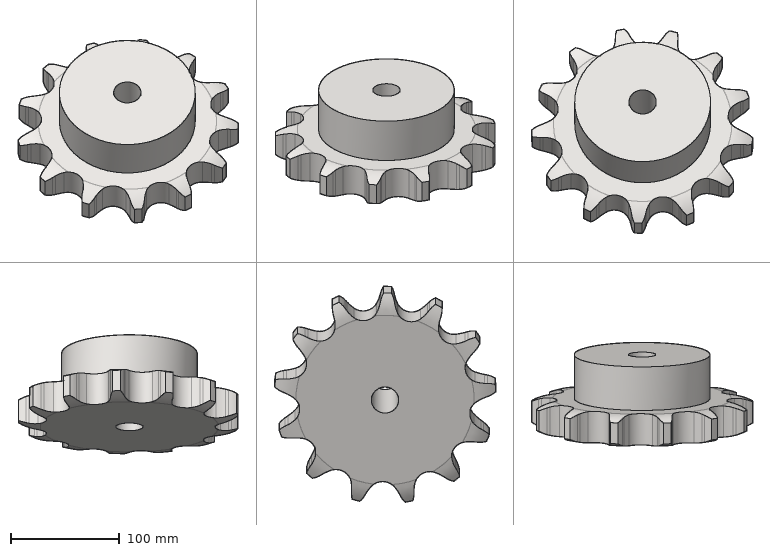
import cadquery as cq
import math

TOOTH_COUNT = 13
ROOT_RADIUS = 79.0
ROLLER_DIAMETER = 27.9
TIP_RADIUS = 102.1
PLATE_THICKNESS = 29.3
TOTAL_HEIGHT = 70.0
HUB_DIAMETER = 125.0
BORE_DIAMETER = 25.0
FLAT_FACE_RADIUS = 82.0
TIP_THICKNESS = 19.5

HALF_PITCH_ANGLE = math.pi / TOOTH_COUNT
SEAT_RADIUS = 0.5025 * ROLLER_DIAMETER
PITCH_RADIUS = ROOT_RADIUS + SEAT_RADIUS
WORKING_CENTER_DISTANCE = 0.8 * ROLLER_DIAMETER
WORKING_RADIUS = SEAT_RADIUS + WORKING_CENTER_DISTANCE
TOPPING_CENTER_DISTANCE = 1.4 * ROLLER_DIAMETER
SEAT_END_ANGLE = math.radians(35 + 60 / TOOTH_COUNT)
WORKING_SWEEP = math.radians(18 - 56 / TOOTH_COUNT)
FLANK_ANGLE = SEAT_END_ANGLE - WORKING_SWEEP

CUTTER_CLEARANCE = 10.2
CUTTER_RADIUS = TIP_RADIUS + CUTTER_CLEARANCE


def polar_offset(center, distance, angle):
    """Point at a distance and an angle (radians) from a center."""
    return (center[0] + distance * math.cos(angle), center[1] + distance * math.sin(angle))


def mirrored(point):
    """Point reflected across the gap's center line."""
    return (-point[0], point[1])


def rim_crossing_angle(center, radius):
    """Angle at which an arc about the topping center, swung outward, reaches the tip circle."""
    distance = math.hypot(*center)
    cosine = (TIP_RADIUS**2 - distance**2 - radius**2) / (2 * distance * radius)
    return math.atan2(center[1], center[0]) - math.acos(cosine)


def tooth_gap():
    """Cutter for one gap, centered on +Y: roller seat, working arcs, short flats, topping arcs."""
    roller_center = (0, PITCH_RADIUS)
    working_center = polar_offset(roller_center, WORKING_CENTER_DISTANCE, SEAT_END_ANGLE)
    topping_center = polar_offset(roller_center, TOPPING_CENTER_DISTANCE, math.pi + HALF_PITCH_ANGLE)

    root = (0, ROOT_RADIUS)
    seat_end = polar_offset(roller_center, SEAT_RADIUS, math.pi + SEAT_END_ANGLE)
    working_mid = polar_offset(working_center, WORKING_RADIUS, math.pi + SEAT_END_ANGLE - WORKING_SWEEP / 2)
    working_end = polar_offset(working_center, WORKING_RADIUS, math.pi + FLANK_ANGLE)

    offset_x = working_end[0] - topping_center[0]
    offset_y = working_end[1] - topping_center[1]
    topping_radius = offset_x * math.cos(FLANK_ANGLE) + offset_y * math.sin(FLANK_ANGLE)
    topping_start = polar_offset(topping_center, topping_radius, FLANK_ANGLE)
    tip_angle = rim_crossing_angle(topping_center, topping_radius)
    topping_mid = polar_offset(topping_center, topping_radius, (FLANK_ANGLE + tip_angle) / 2)
    tip = polar_offset(topping_center, topping_radius, tip_angle)
    outer_corner = (tip[0], CUTTER_RADIUS)

    return (
        cq.Workplane("XY")
        .moveTo(*seat_end)
        .threePointArc(working_mid, working_end)
        .lineTo(*topping_start)
        .threePointArc(topping_mid, tip)
        .lineTo(*outer_corner)
        .lineTo(*mirrored(outer_corner))
        .lineTo(*mirrored(tip))
        .threePointArc(mirrored(topping_mid), mirrored(topping_start))
        .lineTo(*mirrored(working_end))
        .threePointArc(mirrored(working_mid), mirrored(seat_end))
        .threePointArc(root, seat_end)
        .close()
        .extrude(PLATE_THICKNESS)
    )


def relieved_disc():
    """Toothless plate whose rim is thinned on both sides by arcs tangent to the flat faces."""
    relief_depth = (PLATE_THICKNESS - TIP_THICKNESS) / 2
    relief_width = TIP_RADIUS - FLAT_FACE_RADIUS
    relief_radius = (relief_width**2 + relief_depth**2) / (2 * relief_depth)
    half_sweep = math.asin(relief_width / relief_radius) / 2
    mid_radius = FLAT_FACE_RADIUS + relief_radius * math.sin(half_sweep)
    mid_depth = relief_radius * (1 - math.cos(half_sweep))
    return (
        cq.Workplane("XZ")
        .lineTo(FLAT_FACE_RADIUS, 0)
        .threePointArc((mid_radius, mid_depth), (TIP_RADIUS, relief_depth))
        .lineTo(TIP_RADIUS, PLATE_THICKNESS - relief_depth)
        .threePointArc((mid_radius, PLATE_THICKNESS - mid_depth), (FLAT_FACE_RADIUS, PLATE_THICKNESS))
        .lineTo(0, PLATE_THICKNESS)
        .close()
        .revolve(360, (0, 0, 0), (0, 1, 0))
    )


def toothed_plate():
    """Plate with all gaps cut around its rim; one gap faces +Y, so one tooth points along -Y."""
    plate = relieved_disc()
    gap = tooth_gap()
    for index in range(TOOTH_COUNT):
        turn = index * 360 / TOOTH_COUNT
        plate = plate.cut(gap.rotate((0, 0, 0), (0, 0, 1), turn))
    return plate


hub = cq.Workplane("XY").circle(HUB_DIAMETER / 2).extrude(TOTAL_HEIGHT)
bore = cq.Workplane("XY").circle(BORE_DIAMETER / 2).extrude(TOTAL_HEIGHT)
result = toothed_plate().union(hub).cut(bore)